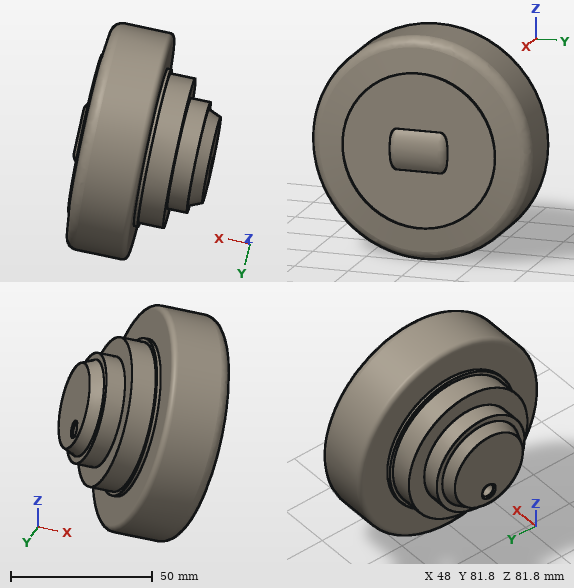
import cadquery as cq
import math


tip_face_radius = 15.5
tip_base_radius = 17.5
tip_length = 4.6
pin_radius = 20.0
pin_length = 7.0
shoulder_radius = 27.0
shoulder_length = 8.9

collar_radius = 28.4
collar_lead = 1.4
collar_length = 25.1

roller_radius = 40.9
back_round = 2.0
front_round = 4.0
crown_radius = 280.0
front_collar_height = 0.4

overall_length = 48.0
pad_length = 21.6
pad_bar_radius = 12.9
pad_end_round = 2.8

hole_offset = 10.0
hole_diameter = 5.0
hole_mouth_diameter = 6.2
hole_depth = 12.0
drill_point_angle = 118.0

pin_start = tip_length
shoulder_start = pin_start + pin_length
collar_start = shoulder_start + shoulder_length
roller_back = collar_start + collar_lead
collar_end = collar_start + collar_length
crown_edge = collar_end - front_collar_height


def crown_x(radius):
    """X of the spherical front face at a given distance from the axis."""
    def sag(r):
        return crown_radius - math.sqrt(crown_radius**2 - r**2)

    return crown_edge + sag(collar_radius) - sag(radius)


def revolve_about_x(profile):
    return profile.close().revolve(360, (0, 0, 0), (1, 0, 0))


def make_stub():
    profile = (
        cq.Workplane("XY")
        .lineTo(0, tip_face_radius)
        .lineTo(pin_start, tip_base_radius)
        .lineTo(pin_start, pin_radius)
        .lineTo(shoulder_start, pin_radius)
        .lineTo(shoulder_start, shoulder_radius)
        .lineTo(collar_start, shoulder_radius)
        .lineTo(collar_start, collar_radius)
        .lineTo(collar_end, collar_radius)
        .lineTo(collar_end, 0)
    )
    return revolve_about_x(profile)


def make_roller():
    middle_radius = (roller_radius + collar_radius) / 2
    profile = (
        cq.Workplane("XY")
        .moveTo(roller_back, 0)
        .lineTo(roller_back, roller_radius)
        .lineTo(crown_x(roller_radius), roller_radius)
        .threePointArc((crown_x(middle_radius), middle_radius), (crown_edge, collar_radius))
        .lineTo(crown_edge, 0)
    )
    roller = revolve_about_x(profile)
    roller = roller.faces("%CYLINDER").edges("%CIRCLE").edges("<X").fillet(back_round)
    return roller.faces("%CYLINDER").edges("%CIRCLE").edges(">X").fillet(front_round)


def make_pad():
    return (
        cq.Workplane("XZ", origin=(overall_length - pad_bar_radius, 0, 0))
        .circle(pad_bar_radius)
        .extrude(pad_length / 2, both=True)
        .faces("<Y or >Y")
        .edges()
        .fillet(pad_end_round)
    )


def make_hole():
    radius = hole_diameter / 2
    mouth_radius = hole_mouth_diameter / 2
    mouth_depth = mouth_radius - radius
    point_length = radius / math.tan(math.radians(drill_point_angle / 2))
    profile = (
        cq.Workplane("XY")
        .lineTo(0, mouth_radius)
        .lineTo(mouth_depth, radius)
        .lineTo(hole_depth, radius)
        .lineTo(hole_depth + point_length, 0)
    )
    return revolve_about_x(profile).translate((0, 0, -hole_offset))


result = make_stub().union(make_roller()).union(make_pad()).cut(make_hole())